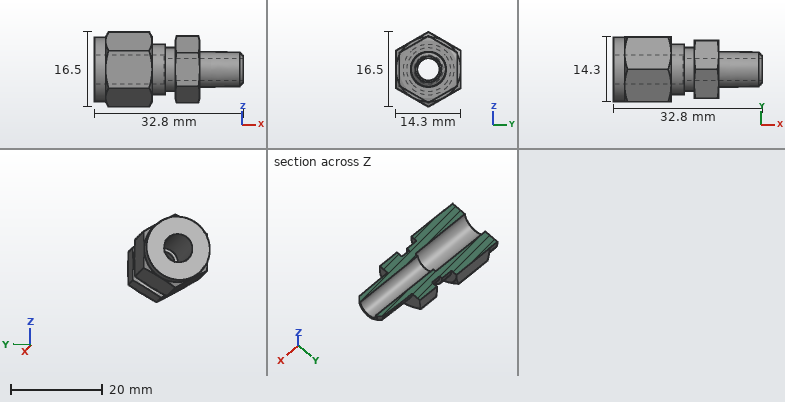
import cadquery as cq
import math


length = 32.75
collar_end = 2.5
nut_end = 12.68
shoulder_end = 15.6
neck_end = 17.8
body_hex_end = 23.13
taper_start = 25.6
tip_chamfer_start = 31.9

collar_diameter = 14.22
nut_across_flats = 14.28
nut_chamfer_angle = 30.0

shoulder_diameter = 11.15
neck_diameter = 9.63
body_across_flats = 12.7
body_chamfer_angle = 15.0

pipe_diameter = 7.83
taper_end_diameter = 7.57
tip_diameter = 5.75

socket_diameter = 6.35
socket_depth = 15.2
bore_diameter = 4.85


def cylinder(start, end, diameter):
    """Round section along X between two stations."""
    return cq.Workplane("YZ").workplane(offset=start).circle(diameter / 2).extrude(end - start)


def chamfered_hexagon(start, end, across_flats, chamfer_angle):
    """Hexagon along X, corners up and down, with both ends cut back by a cone.

    Each cone starts on the end face at the flats' inscribed circle.
    """
    across_corners = across_flats / math.cos(math.radians(30))
    prism = (
        cq.Workplane("YZ")
        .workplane(offset=start)
        .transformed(rotate=(0, 0, 90))
        .polygon(6, across_corners)
        .extrude(end - start)
    )
    face_radius = across_flats / 2
    corner_radius = across_corners / 2
    setback = (corner_radius - face_radius) * math.tan(math.radians(chamfer_angle))
    envelope = (
        cq.Workplane("XY")
        .moveTo(start, 0)
        .lineTo(start, face_radius)
        .lineTo(start + setback, corner_radius)
        .lineTo(end - setback, corner_radius)
        .lineTo(end, face_radius)
        .lineTo(end, 0)
        .close()
        .revolve(360, (0, 0, 0), (1, 0, 0))
    )
    return prism.intersect(envelope)


def pipe_end():
    """Straight run, taper and chamfered tip."""
    return (
        cq.Workplane("XY")
        .moveTo(body_hex_end, 0)
        .lineTo(body_hex_end, pipe_diameter / 2)
        .lineTo(taper_start, pipe_diameter / 2)
        .lineTo(tip_chamfer_start, taper_end_diameter / 2)
        .lineTo(length, tip_diameter / 2)
        .lineTo(length, 0)
        .close()
        .revolve(360, (0, 0, 0), (1, 0, 0))
    )


nut = cylinder(0, collar_end, collar_diameter).union(
    chamfered_hexagon(collar_end, nut_end, nut_across_flats, nut_chamfer_angle)
)

body = (
    cylinder(nut_end, shoulder_end, shoulder_diameter)
    .union(cylinder(shoulder_end, neck_end, neck_diameter))
    .union(chamfered_hexagon(neck_end, body_hex_end, body_across_flats, body_chamfer_angle))
    .union(pipe_end())
)

result = (
    nut.union(body)
    .cut(cylinder(0, socket_depth, socket_diameter))
    .cut(cylinder(0, length, bore_diameter))
)